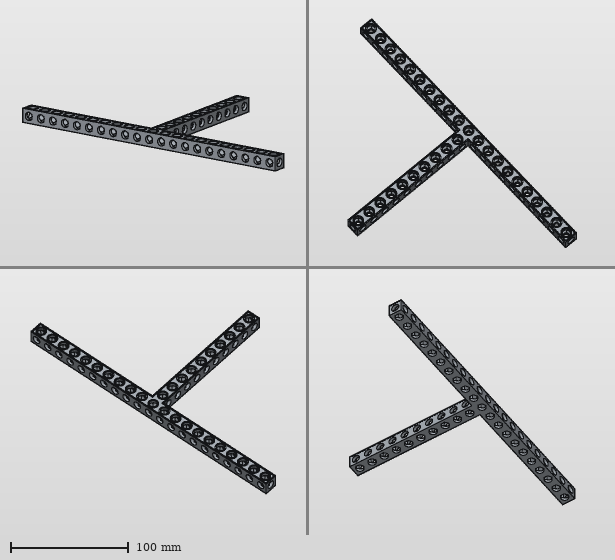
import cadquery as cq

length = 262.5
bar_holes = 21
leg_holes = 10
hole_diameter = 7.0
collar_diameter = 9.2
rim_width = 1.0
recess_depth = 0.3

pitch = length / bar_holes
half_pitch = pitch / 2
bar_end = length / 2
leg_end = leg_holes * pitch + half_pitch

bar_positions = [(i - (bar_holes - 1) / 2) * pitch for i in range(bar_holes)]
leg_positions = [i * pitch for i in range(1, leg_holes + 1)]
vertical_centres = [(x, 0) for x in bar_positions] + [(0, y) for y in leg_positions]


def tee_slab(inset, bottom, top):
    """T-shaped slab whose outline lies `inset` inside the beam outline."""
    width = pitch - 2 * inset
    leg_length = leg_end - inset
    base = cq.Workplane("XY").workplane(offset=bottom)
    bar = base.rect(length - 2 * inset, width).extrude(top - bottom)
    leg = base.center(0, leg_length / 2).rect(width, leg_length).extrude(top - bottom)
    return bar.union(leg)


def rods(plane, centres, diameter, start, end):
    """Parallel cylinders along the normal of `plane`, from `start` to `end`."""
    base = cq.Workplane(plane).workplane(offset=start)
    return base.pushPoints(centres).circle(diameter / 2).extrude(end - start)


body = tee_slab(0, -half_pitch, half_pitch)

recess_floor = half_pitch - recess_depth
recess = tee_slab(rim_width, recess_floor, half_pitch)
collars = rods("XY", vertical_centres, collar_diameter, recess_floor, half_pitch)
body = body.cut(recess.cut(collars))

body = body.cut(rods("XY", vertical_centres, hole_diameter, -half_pitch, half_pitch))

bar_cross_centres = [(x, 0) for x in bar_positions]
body = body.cut(rods("XZ", bar_cross_centres, hole_diameter, -leg_end, half_pitch))

leg_cross_centres = [(y, 0) for y in [0] + leg_positions]
body = body.cut(rods("YZ", leg_cross_centres, hole_diameter, -bar_end, bar_end))

result = body